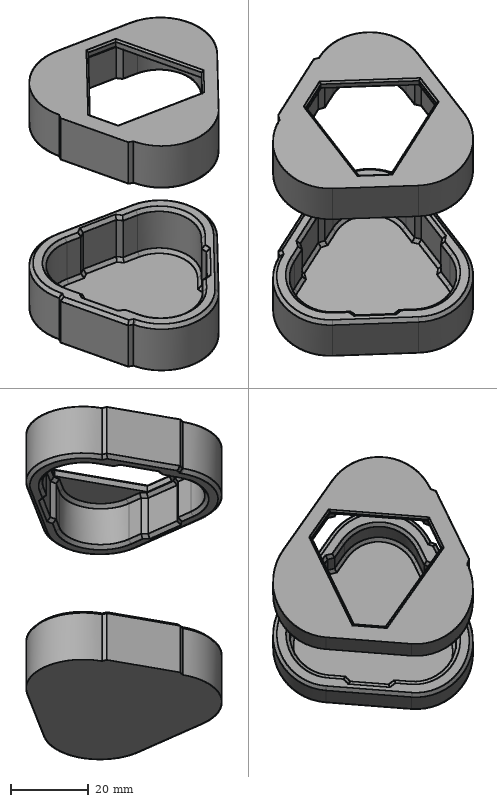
import cadquery as cq
import math

total_height = 76.0
shell_height = 15.0
tray_floor = 0.6
lid_roof = 2.3
edge_chamfer = 1.0

lobe_spacing = 22.35
lobe_radius = 14.8

cavity_spacing = 21.4
cavity_radius = 10.95

pad_base_width = 22.05
pad_depth = 1.0

recess_mouth_width = 12.8
recess_back_width = 10.0
recess_depth = 1.2

window_long_reach = 12.7
window_short_reach = 17.6
window_chamfer = 0.5

side_angles = (-90, 30, 150)
overlap = 0.75


def side_reach(spacing, radius):
    """Distance from the part centre to the flat sides of a rounded triangle."""
    return spacing / (2 * math.sqrt(3)) + radius


def point_on_side(angle, reach, along):
    """Point at a distance along the side that faces the given angle."""
    turn = math.radians(angle)
    x = reach * math.cos(turn) - along * math.sin(turn)
    y = reach * math.sin(turn) + along * math.cos(turn)
    return (x, y)


def rounded_triangle(spacing, radius, height):
    """Prism with three lobes of the given radius, joined by flat sides."""
    reach = side_reach(spacing, radius)
    lobe_tip = spacing / math.sqrt(3) + radius
    half = spacing / 2
    outline = cq.Workplane("XY").moveTo(*point_on_side(side_angles[0], reach, -half))
    for angle in side_angles:
        tip = point_on_side(angle + 60, lobe_tip, 0)
        next_side_start = point_on_side(angle + 120, reach, -half)
        outline = outline.lineTo(*point_on_side(angle, reach, half))
        outline = outline.threePointArc(tip, next_side_start)
    return outline.close().extrude(height)


def side_trapezoid(angle, reach, base_width, end_width, depth, height):
    """Prism that stands out from one flat side and narrows outward."""
    corners = [
        (reach - overlap, -base_width / 2),
        (reach, -base_width / 2),
        (reach + depth, -end_width / 2),
        (reach + depth, end_width / 2),
        (reach, base_width / 2),
        (reach - overlap, base_width / 2),
    ]
    points = [point_on_side(angle, out, along) for out, along in corners]
    return cq.Workplane("XY").polyline(points).close().extrude(height)


def make_outer_block():
    """Outside of a shell, with the -Y pad and a chamfered rim on top."""
    pad_end_width = pad_base_width - 2 * pad_depth
    pad = side_trapezoid(
        side_angles[0], side_reach(lobe_spacing, lobe_radius),
        pad_base_width, pad_end_width, pad_depth, shell_height,
    )
    block = rounded_triangle(lobe_spacing, lobe_radius, shell_height).union(pad)
    return block.faces(">Z").chamfer(edge_chamfer)


def make_cavity(depth):
    """Inside of a shell, with three side recesses and a chamfered closed end."""
    cavity = rounded_triangle(cavity_spacing, cavity_radius, depth)
    for angle in side_angles:
        recess = side_trapezoid(
            angle, side_reach(cavity_spacing, cavity_radius),
            recess_mouth_width, recess_back_width, recess_depth, depth,
        )
        cavity = cavity.union(recess)
    return cavity.faces("<Z").chamfer(edge_chamfer)


def make_shell(closed_thickness):
    """Hollow shell standing on z = 0, open at the top, with a chamfered mouth."""
    cavity = make_cavity(shell_height - closed_thickness)
    shell = make_outer_block().cut(cavity.translate((0, 0, closed_thickness)))
    mouth = shell.faces(">Z").val().innerWires()[0]
    return shell.newObject(mouth.Edges()).chamfer(edge_chamfer)


def window_corners(inset):
    """Corners of a triangle with cut tips, with every edge moved inward by inset."""
    long_reach = window_long_reach - inset
    short_reach = window_short_reach - inset
    half_short_edge = (2 * long_reach - short_reach) / math.sqrt(3)
    corners = []
    for angle in side_angles:
        corners.append(point_on_side(angle, short_reach, -half_short_edge))
        corners.append(point_on_side(angle, short_reach, half_short_edge))
    return corners


def make_window():
    """Window cutter that flares out to the full outline at the lid's top face."""
    narrow = window_corners(window_chamfer)
    opening = cq.Workplane("XY").polyline(narrow).close().extrude(-lid_roof - overlap)
    flare = (
        cq.Workplane("XY").polyline(window_corners(0)).close()
        .workplane(offset=-window_chamfer).polyline(narrow).close()
        .loft(ruled=True)
    )
    return opening.union(flare).translate((0, 0, total_height))


def make_tray():
    return make_shell(tray_floor)


def make_lid():
    """Shell turned upside down above the tray, with the window through its roof."""
    shell = make_shell(lid_roof).rotate((0, 0, 0), (0, 1, 0), 180)
    return shell.translate((0, 0, total_height)).cut(make_window())


tray = make_tray()
lid = make_lid()

result = cq.Compound.makeCompound([tray.val(), lid.val()])